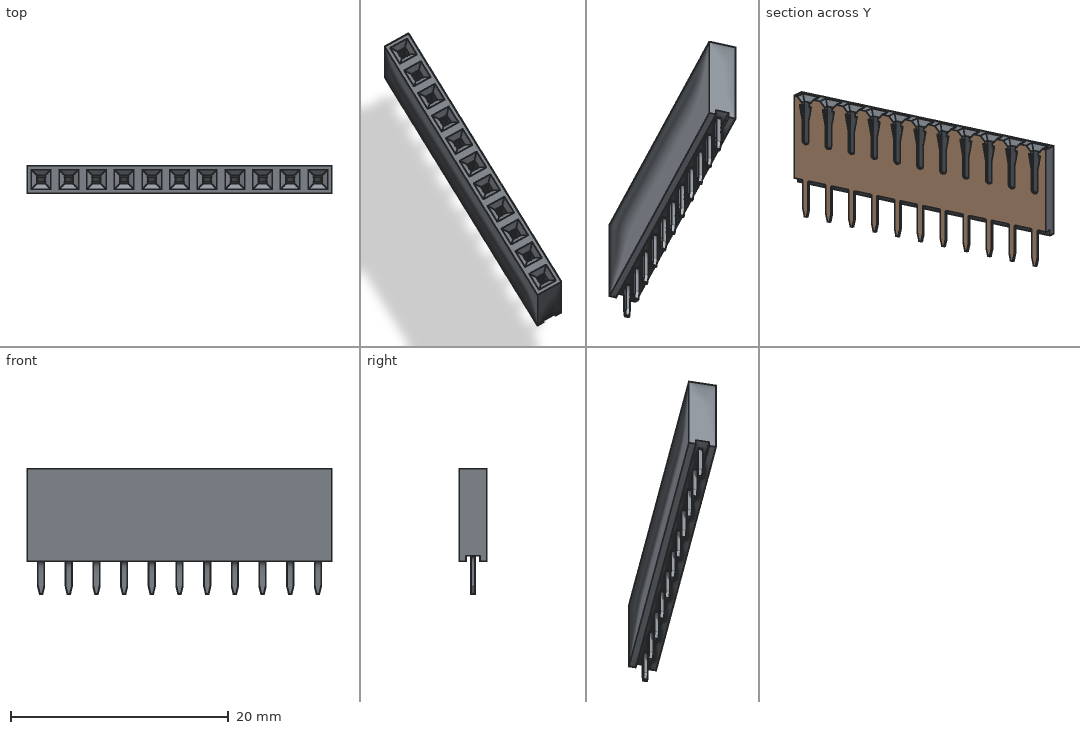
import cadquery as cq

position_count = 11
length = 27.95
width = 2.55
total_height = 11.5
pitch = length / position_count

channel_width = 1.25
channel_depth = 0.5

pin_width = 0.61
pin_thickness = 0.4
pin_drop = 3.02
root_flare = 0.08
tip_width = 0.25
tip_length = 0.75

mouth_size = 1.8
throat_size = 0.78
funnel_depth = 0.5
socket_depth = 5.6

gap_top_width = 1.23
gap_width = 0.65
gap_top_depth = 0.78
gap_narrow_depth = 2.24
gap_bottom_depth = 4.47

body_height = total_height - pin_drop
body_top = body_height / 2
body_bottom = -body_top
position_xs = [(i - (position_count - 1) / 2) * pitch for i in range(position_count)]


def housing():
    block = cq.Workplane("XY").box(length, width, body_height)
    channel = (
        cq.Workplane("XY", origin=(0, 0, body_bottom))
        .rect(length, channel_width)
        .extrude(channel_depth)
    )
    return block.cut(channel)


def funnel():
    return (
        cq.Workplane("XY", origin=(0, 0, body_top))
        .rect(mouth_size, mouth_size)
        .workplane(offset=-funnel_depth)
        .rect(throat_size, throat_size)
        .loft(ruled=True)
    )


def blind_hole():
    return (
        cq.Workplane("XY", origin=(0, 0, body_top - socket_depth))
        .rect(throat_size, throat_size)
        .extrude(socket_depth - funnel_depth)
    )


def contact_blade():
    """Solid metal strip across the hole, before the gap of the fork is opened."""
    return (
        cq.Workplane("XY", origin=(0, 0, body_top - socket_depth))
        .rect(throat_size, pin_thickness)
        .extrude(socket_depth - gap_top_depth)
    )


def contact_gap():
    """Space between the tines: it narrows downward and ends in a half-round bottom."""
    gap_top = body_top - gap_top_depth
    gap_narrow = body_top - gap_narrow_depth
    gap_bottom = body_top - gap_bottom_depth
    arc_ends = gap_bottom + gap_width / 2
    return (
        cq.Workplane("XZ")
        .moveTo(-gap_top_width / 2, gap_top)
        .lineTo(gap_top_width / 2, gap_top)
        .lineTo(gap_width / 2, gap_narrow)
        .lineTo(gap_width / 2, arc_ends)
        .threePointArc((0, gap_bottom), (-gap_width / 2, arc_ends))
        .lineTo(-gap_width / 2, gap_narrow)
        .close()
        .extrude(pin_thickness / 2, both=True)
    )


def socket():
    """Empty space of one position, with the fork contact left standing in it."""
    return funnel().union(blind_hole()).cut(contact_blade()).union(contact_gap())


def pin():
    """Blade hanging from the channel ceiling, ending in a two-sided taper."""
    root = body_bottom + channel_depth
    end = body_bottom - pin_drop
    right_side = [
        (pin_width / 2 + root_flare, root),
        (pin_width / 2, root - root_flare),
        (pin_width / 2, end + tip_length),
        (tip_width / 2, end),
    ]
    left_side = [(-x, z) for x, z in reversed(right_side)]
    return (
        cq.Workplane("XZ")
        .polyline(right_side + left_side)
        .close()
        .extrude(pin_thickness / 2, both=True)
    )


socket_space = socket()
pin_blade = pin()
result = housing()
for x in position_xs:
    result = result.cut(socket_space.translate((x, 0, 0)))
    result = result.union(pin_blade.translate((x, 0, 0)))